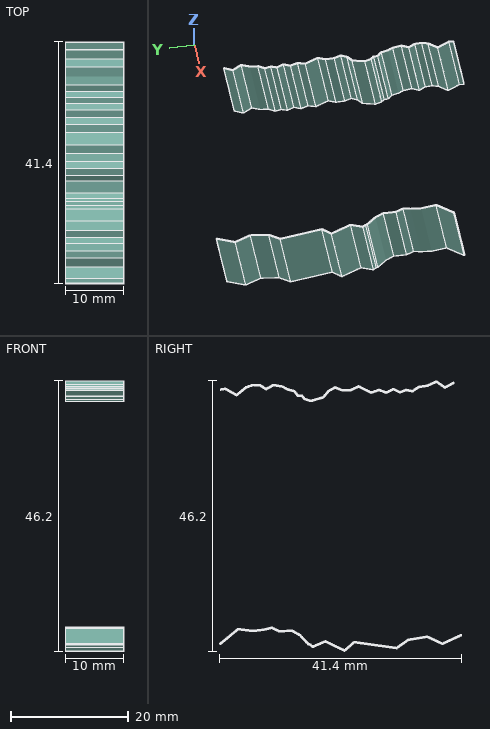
import cadquery as cq
import math


STRIP_WIDTH = 10.0
SHEET_THICKNESS = 0.24

UPPER_STRIP_FOLDS = [
    (19.35, 22.9), (17.85, 22.1), (16.4, 23.1), (14.8, 22.4), (13.4, 22.2), (12.25, 21.45),
    (11.25, 21.7), (10.15, 21.25), (9.05, 21.83), (7.8, 21.22), (6.6, 21.7), (5.25, 21.22),
    (3.1, 22.3), (1.7, 21.65), (0.3, 21.65), (-0.92, 22.1), (-2.15, 21.45), (-3.0, 20.4),
    (-5.1, 19.8), (-6.05, 20.1), (-6.5, 20.65), (-7.2, 20.65), (-7.8, 21.45), (-9.05, 21.8),
    (-9.85, 22.25), (-11.45, 22.5), (-12.7, 21.83), (-13.7, 22.45), (-15.0, 22.5), (-16.2, 22.1),
    (-17.75, 20.8), (-19.65, 21.85), (-20.55, 21.75),
]
LOWER_STRIP_FOLDS = [
    (20.6, -20.2), (17.45, -21.7), (14.85, -20.5), (11.5, -21.05), (9.55, -22.43), (2.3, -21.4),
    (0.7, -22.85), (-2.6, -21.25), (-4.7, -22.2), (-5.15, -21.83), (-5.4, -21.8), (-6.85, -20.25),
    (-8.25, -19.45), (-10.45, -19.55), (-11.7, -18.95), (-13.1, -19.3), (-14.95, -19.5),
    (-17.52, -19.2), (-20.65, -21.8),
]


def panel_angles(folds):
    """Tilt of each flat panel from the +Y direction, in radians; positive rises toward +Y."""
    return [
        math.atan2(z_start - z_end, y_start - y_end)
        for (y_start, z_start), (y_end, z_end) in zip(folds, folds[1:])
    ]


def lower_face(folds):
    """Fold lines of the lower face: mitred at each fold, square to the panel at both ends."""
    angles = panel_angles(folds)
    angles_before = [angles[0]] + angles
    angles_after = angles + [angles[-1]]
    points = []
    for (y, z), before, after in zip(folds, angles_before, angles_after):
        mitre_direction = (before + after - math.pi) / 2
        mitre_length = SHEET_THICKNESS / math.cos((after - before) / 2)
        points.append((
            y + mitre_length * math.cos(mitre_direction),
            z + mitre_length * math.sin(mitre_direction),
        ))
    return points


def pleated_strip(folds):
    """One folded sheet, centred on X = 0."""
    outline = folds + lower_face(folds)[::-1]
    return cq.Workplane("YZ").polyline(outline).close().extrude(STRIP_WIDTH / 2, both=True)


upper_strip = pleated_strip(UPPER_STRIP_FOLDS)
lower_strip = pleated_strip(LOWER_STRIP_FOLDS)

result = cq.Compound.makeCompound([upper_strip.val(), lower_strip.val()])